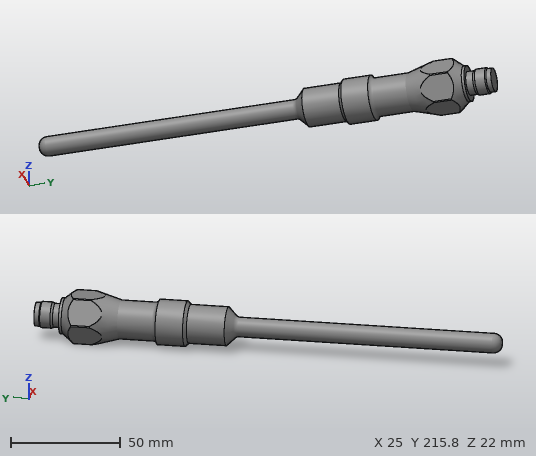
import cadquery as cq
import math

length = 215.8

plug_diameter = 11.0
plug_ring_diameter = 12.0
plug_ring_start = 2.8
plug_ring_end = 7.5
plug_ring_taper_end = 8.6
plug_end = 11.9

flange_diameter = 16.6
flange_end = 13.2

hex_across_flats = 22.0
hex_corner_diameter = 25.0
hex_front_angle = 39.0
hex_straight_end = 27.0
hex_taper_end = 39.3

body_diameter = 18.0
body_end = 88.7
collar_diameter = 21.0
collar_start = 57.0
collar_end = 69.7

nose_diameter = 10.5
nose_blend_radius = 2.5
tube_diameter = 9.0
tip_flat_diameter = 1.0

plug_radius = plug_diameter / 2
plug_ring_radius = plug_ring_diameter / 2
flange_radius = flange_diameter / 2
hex_corner_radius = hex_corner_diameter / 2
body_radius = body_diameter / 2
collar_radius = collar_diameter / 2
nose_radius = nose_diameter / 2
tube_radius = tube_diameter / 2
tip_flat_radius = tip_flat_diameter / 2

plug_ring_rise = plug_ring_radius - plug_radius
hex_front_length = (hex_corner_radius - flange_radius) / math.tan(math.radians(hex_front_angle))
collar_step = collar_radius - body_radius
collar_blend_radius = 2.2
collar_blend_length = math.sqrt(2 * collar_blend_radius * collar_step - collar_step**2)

nose_end = body_end + body_radius - nose_radius
nose_drop = nose_radius - tube_radius
nose_blend_length = math.sqrt(2 * nose_blend_radius * nose_drop - nose_drop**2)
tip_radius = tube_radius - tip_flat_radius
tip_start = length - tip_radius


def at(radius, station):
    """Profile point at a radius and a distance from the plug end."""
    return (radius, length / 2 - station)


def blend_middle(foot_radius, foot_station, blend_radius, blend_length):
    """Middle of a concave arc tangent to a cylinder; a negative length blends toward the plug."""
    half_angle = math.asin(abs(blend_length) / blend_radius) / 2
    rise = blend_radius * (1 - math.cos(half_angle))
    run = math.copysign(blend_radius * math.sin(half_angle), blend_length)
    return at(foot_radius + rise, foot_station + run)


def turned_profile():
    """Half section of the whole probe, traced from the plug end to the tip."""
    profile = cq.Workplane("XY").moveTo(*at(0, 0)).lineTo(*at(plug_radius, 0))

    profile = profile.lineTo(*at(plug_radius, plug_ring_start - plug_ring_rise))
    profile = profile.lineTo(*at(plug_ring_radius, plug_ring_start))
    profile = profile.lineTo(*at(plug_ring_radius, plug_ring_end))
    profile = profile.lineTo(*at(plug_radius, plug_ring_taper_end))
    profile = profile.lineTo(*at(plug_radius, plug_end))

    profile = profile.lineTo(*at(flange_radius, plug_end))
    profile = profile.lineTo(*at(flange_radius, flange_end))
    profile = profile.lineTo(*at(hex_corner_radius, flange_end + hex_front_length))
    profile = profile.lineTo(*at(hex_corner_radius, hex_straight_end))
    profile = profile.lineTo(*at(body_radius, hex_taper_end))

    collar_foot = collar_start - collar_blend_length
    profile = profile.lineTo(*at(body_radius, collar_foot))
    profile = profile.threePointArc(
        blend_middle(body_radius, collar_foot, collar_blend_radius, collar_blend_length),
        at(collar_radius, collar_start),
    )
    profile = profile.lineTo(*at(collar_radius, collar_end))
    profile = profile.lineTo(*at(body_radius, collar_end + collar_step))
    profile = profile.lineTo(*at(body_radius, body_end))

    tube_start = nose_end + nose_blend_length
    profile = profile.lineTo(*at(nose_radius, nose_end))
    profile = profile.threePointArc(
        blend_middle(tube_radius, tube_start, nose_blend_radius, -nose_blend_length),
        at(tube_radius, tube_start),
    )

    diagonal = tip_radius * math.sqrt(0.5)
    profile = profile.lineTo(*at(tube_radius, tip_start))
    profile = profile.threePointArc(
        at(tip_flat_radius + diagonal, tip_start + diagonal),
        at(tip_flat_radius, length),
    )
    return profile.lineTo(*at(0, length)).close()


def hex_waste():
    """Material outside the hexagon, over the length of the hexagon's round envelope."""
    depth = hex_taper_end - flange_end
    across_corners = hex_across_flats / math.cos(math.pi / 6)
    outer_radius = 2 * hex_corner_radius
    start = cq.Workplane("XZ", origin=(0, length / 2 - flange_end, 0))
    return start.circle(outer_radius).polygon(6, across_corners).extrude(depth)


result = turned_profile().revolve(360, (0, 0, 0), (0, 1, 0)).cut(hex_waste())